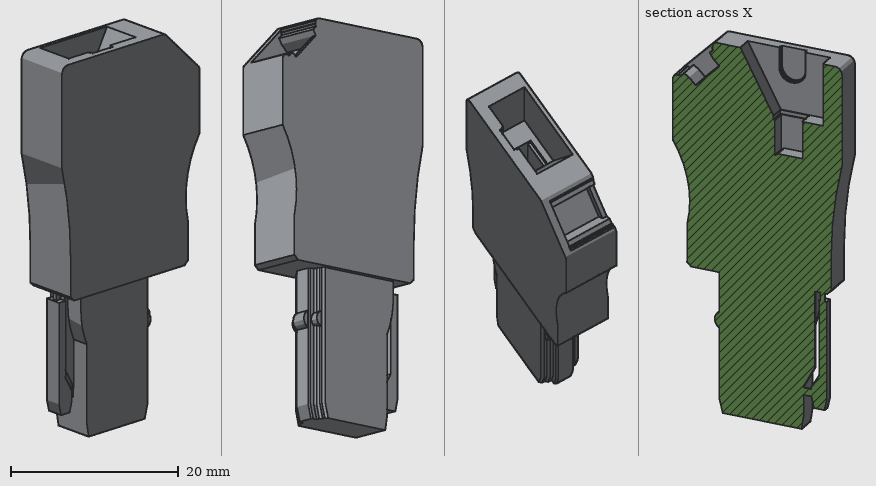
import cadquery as cq
import math

width = 7.1
depth = 22.4
height = 48.6

housing_bottom = 18.4
front_y = -depth / 2
back_y = depth / 2
top_front_radius = 1.0
bottom_chamfer_run, bottom_chamfer_rise = 0.6, 0.55
grip_front_y = -9.75
grip_front_bottom = 23.5
grip_front_top = 35.7
grip_back_y = 9.35
grip_back_bottom = 23.9
grip_back_waist = (9.0, 26.75)
grip_back_top = 34.6
label_bevel = 5.65
label_edge_radius = 0.5

label_right_x = 2.6
label_web_x = -2.95
label_steps = [
    (3.4, 3.25, 0.25, -width / 2),
    (3.15, 3.0, 0.55, -width / 2),
    (2.5, 2.2, 1.3, -width / 2),
    (2.2, 2.2, 2.55, label_web_x),
]

funnel_left, funnel_right = -3.0, 2.0
funnel_front, funnel_back = -8.65, 2.25
funnel_depth = 8.1
funnel_foot_y = -2.15
lead_in_left, lead_in_right = -2.2, 1.85
lead_in_depth = 0.5
well_left, well_right = -1.8, 1.7
well_front, well_back = -5.95, -2.35
well_depth = 4.85
ramp_length, ramp_drop = 0.4, 0.25
scallop_y = -3.65
scallop_drop = 2.6
scallop_steps = [(1.75, 2.25), (1.6, 2.6)]

plug_x = -0.2
plug_width = 5.3
plug_front = -6.1
plug_taper_height = 1.75
plug_front_taper = 0.3
plug_back_taper = 0.45
shoulder_y = 3.75
ledge_half, ledge_y = 2.0, 4.05
step_half, step_y = 1.7, 4.33
spine_half, spine_y = 1.2, 5.05
back_bevel = 0.3
spine_bevel = 0.2
throat_y = -7.1
throat_bottom, throat_top = 11.8, 16.4
rib_width = 0.75
rib_y = -7.6
rib_knee, rib_foot = 8.4, 5.7

bump_z = 12.2
centre_bump_radius, side_bump_radius = 1.15, 0.95
centre_bump_tip, side_bump_tip = 5.7, 4.7
centre_bump_half, side_bumps_half = 0.95, 2.2

arm_width = 2.15
arm_front, arm_back = -9.2, -8.1
arm_top, arm_bottom = 17.4, 3.05
hook_back = -7.1
hook_knee, hook_top, hook_low = 7.55, 5.85, 4.5
hook_draft = 0.35
link_width = 0.55
stem_front, stem_back = -8.9, -8.25
peg_bottom, peg_top = 4.5, 5.55

overlap = 0.25


def slab(side_profile, x_from, x_to):
    """Extrude a closed YZ wire along X between two X positions."""
    return side_profile.extrude(x_to - x_from).translate((x_from, 0, 0))


def side_polygon(points):
    return cq.Workplane("YZ").polyline(points).close()


def box(x_range, y_range, z_range):
    corners = list(zip(x_range, y_range, z_range))
    size = [high - low for low, high in zip(*corners)]
    return cq.Workplane("XY").box(*size, centered=False).translate(corners[0])


def front_grip_middle():
    """Point halfway up the front grip arc, which runs vertical at its lower end."""
    rise = grip_front_top - grip_front_bottom
    sweep_out = grip_front_y - front_y
    radius = (rise**2 + sweep_out**2) / (2 * sweep_out)
    half_angle = math.asin(rise / radius) / 2
    return (
        grip_front_y - radius * (1 - math.cos(half_angle)),
        grip_front_bottom + radius * math.sin(half_angle),
    )


def make_housing():
    profile = (
        cq.Workplane("YZ")
        .moveTo(grip_front_y + bottom_chamfer_run, housing_bottom)
        .lineTo(grip_back_y - bottom_chamfer_run, housing_bottom)
        .lineTo(grip_back_y, housing_bottom + bottom_chamfer_rise)
        .lineTo(grip_back_y, grip_back_bottom)
        .threePointArc(grip_back_waist, (back_y, grip_back_top))
        .lineTo(back_y, height - label_bevel)
        .lineTo(back_y - label_bevel, height)
        .lineTo(front_y, height)
        .lineTo(front_y, grip_front_top)
        .threePointArc(front_grip_middle(), (grip_front_y, grip_front_bottom))
        .lineTo(grip_front_y, housing_bottom + bottom_chamfer_rise)
        .close()
    )
    body = slab(profile, -width / 2, width / 2)
    body = body.edges("|X and >Z and <Y").fillet(top_front_radius)
    for y, z in [(back_y, height - label_bevel), (back_y - label_bevel, height)]:
        body = body.edges(cq.selectors.NearestToPointSelector((0, y, z))).fillet(label_edge_radius)
    return body


def label_slot():
    """Stepped slot sunk square to the 45 degree bevel and open on the left side."""
    middle = (back_y - label_bevel / 2, height - label_bevel / 2)
    slot = cq.Workplane("YZ")
    for half_top, half_floor, floor_depth, left_x in label_steps:
        outline = [
            (-half_top, overlap),
            (-half_top, 0),
            (-half_floor, -floor_depth),
            (half_floor, -floor_depth),
            (half_top, 0),
            (half_top, overlap),
        ]
        step = slab(side_polygon(outline), left_x, label_right_x)
        slot = slot.union(step.rotate((0, 0, 0), (1, 0, 0), -45).translate((0, *middle)))
    return slot


def wire_funnel():
    floor_z = height - funnel_depth
    mouth = slab(
        side_polygon(
            [
                (funnel_front, height),
                (funnel_back, height),
                (funnel_foot_y, floor_z),
                (funnel_front, floor_z),
            ]
        ),
        funnel_left,
        funnel_right,
    )
    lead_in = box(
        (lead_in_left, lead_in_right),
        (well_front, funnel_foot_y),
        (floor_z - lead_in_depth, floor_z),
    )
    well_floor = floor_z - well_depth
    well = slab(
        side_polygon(
            [
                (well_front, floor_z),
                (well_back, floor_z),
                (well_back, well_floor - ramp_drop),
                (well_back - ramp_length, well_floor),
                (well_front, well_floor),
            ]
        ),
        well_left,
        well_right,
    )
    return mouth.union(lead_in).union(well)


def scallop():
    """Round-bottomed, two-step groove in the right wall of the funnel."""
    groove = cq.Workplane("YZ")
    centre_z = height - scallop_drop
    for radius, right_x in scallop_steps:
        profile = (
            cq.Workplane("YZ")
            .moveTo(scallop_y - radius, height)
            .lineTo(scallop_y - radius, centre_z)
            .threePointArc((scallop_y, centre_z - radius), (scallop_y + radius, centre_z))
            .lineTo(scallop_y + radius, height)
            .close()
        )
        groove = groove.union(slab(profile, funnel_right - overlap, right_x))
    return groove


def plug_outline(front, back_shift):
    """XY outline of the plug, with its stepped back moved forward by back_shift."""
    right_half = [
        (plug_width / 2, front),
        (plug_width / 2, shoulder_y - back_shift),
        (plug_width / 2 - back_bevel, ledge_y - back_shift),
        (ledge_half, ledge_y - back_shift),
        (step_half, step_y - back_shift),
        (spine_half, step_y - back_shift),
        (spine_half, spine_y - spine_bevel - back_shift),
        (spine_half - spine_bevel, spine_y - back_shift),
    ]
    left_half = [(-x, y) for x, y in reversed(right_half)]
    return [(plug_x + x, y) for x, y in right_half + left_half]


def make_plug():
    top = housing_bottom + overlap
    shank = (
        cq.Workplane("XY", origin=(0, 0, plug_taper_height))
        .polyline(plug_outline(plug_front, 0))
        .close()
        .extrude(top - plug_taper_height)
    )
    tip = (
        cq.Workplane("XY")
        .polyline(plug_outline(plug_front + plug_front_taper, plug_back_taper))
        .close()
        .workplane(offset=plug_taper_height)
        .polyline(plug_outline(plug_front, 0))
        .close()
        .loft(ruled=True)
    )
    return shank.union(tip)


def plug_throat():
    """Full-width thickening under the housing that curves back to the plug front."""
    rise = throat_top - throat_bottom
    reach = plug_front - throat_y
    radius = (rise**2 + reach**2) / (2 * reach)
    half_angle = math.asin(rise / radius) / 2
    arc_middle = (
        throat_y + radius * (1 - math.cos(half_angle)),
        throat_top - radius * math.sin(half_angle),
    )
    profile = (
        cq.Workplane("YZ")
        .moveTo(plug_front + overlap, throat_bottom)
        .lineTo(plug_front, throat_bottom)
        .threePointArc(arc_middle, (throat_y, throat_top))
        .lineTo(throat_y, housing_bottom + overlap)
        .lineTo(plug_front + overlap, housing_bottom + overlap)
        .close()
    )
    return slab(profile, plug_x - plug_width / 2, plug_x + plug_width / 2)


def plug_rib():
    outline = [
        (plug_front + overlap, rib_foot),
        (plug_front, rib_foot),
        (rib_y, rib_knee),
        (rib_y, housing_bottom + overlap),
        (plug_front + overlap, housing_bottom + overlap),
    ]
    return slab(side_polygon(outline), plug_x - rib_width / 2, plug_x + rib_width / 2)


def detent_bumps():
    """Two rollers lying across the plug, one showing on the spine and one on both ledges."""
    bumps = cq.Workplane("YZ")
    rollers = [
        (centre_bump_half, centre_bump_tip, centre_bump_radius),
        (side_bumps_half, side_bump_tip, side_bump_radius),
    ]
    for half_length, tip, radius in rollers:
        profile = cq.Workplane("YZ").center(tip - radius, bump_z).circle(radius)
        bumps = bumps.union(slab(profile, plug_x - half_length, plug_x + half_length))
    return bumps


def latch_arm():
    outline = [
        (arm_front, arm_top),
        (arm_back, arm_top),
        (arm_back, hook_knee),
        (hook_back, hook_top),
        (hook_back, hook_low),
        (hook_back - hook_draft, arm_bottom),
        (arm_front + hook_draft, arm_bottom),
        (arm_front, hook_low),
    ]
    arm = slab(side_polygon(outline), plug_x - arm_width / 2, plug_x + arm_width / 2)
    link_span = (plug_x - link_width / 2, plug_x + link_width / 2)
    stem = box(link_span, (stem_front, stem_back), (arm_top - overlap, housing_bottom + overlap))
    peg = box(link_span, (hook_back - overlap, plug_front + overlap), (peg_bottom, peg_top))
    return arm.union(stem).union(peg)


housing = make_housing().cut(label_slot()).cut(wire_funnel()).cut(scallop())
plug = make_plug().union(plug_throat()).union(plug_rib()).union(detent_bumps())
result = housing.union(plug).union(latch_arm())